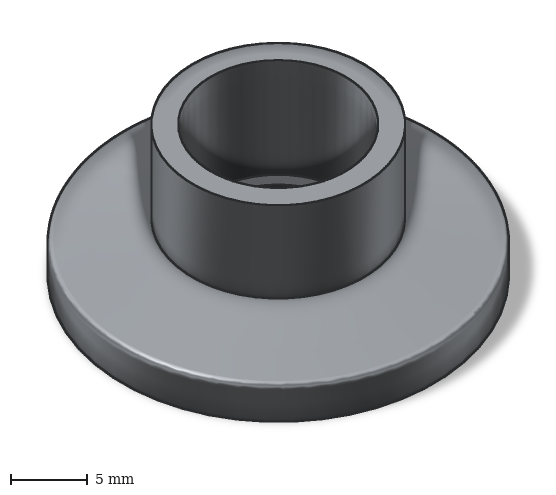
import cadquery as cq
import math

flange_diameter = 30.0
tube_diameter = 16.5
socket_diameter = 13.0
bore_diameter = 11.0
total_height = 12.7
rim_height = 3.0
cone_angle = 15.0
rim_fillet = 0.5
socket_floor = rim_height

flange_radius = flange_diameter / 2
tube_radius = tube_diameter / 2
cone_rise = (flange_radius - tube_radius) * math.tan(math.radians(cone_angle))
cone_top = rim_height + cone_rise


def make_body():
    """Flange with a conical back and a tube stub, revolved about Z."""
    profile = (
        cq.Workplane("XZ")
        .moveTo(0, 0)
        .lineTo(flange_radius, 0)
        .lineTo(flange_radius, rim_height)
        .lineTo(tube_radius, cone_top)
        .lineTo(tube_radius, total_height)
        .lineTo(0, total_height)
        .close()
    )
    return profile.revolve(360, (0, 0, 0), (0, 1, 0))


def round_rim(body):
    """Round the edge between the rim and the conical back."""
    rim_edge = cq.selectors.RadiusNthSelector(-1)
    return body.faces("%CONE").edges(rim_edge).fillet(rim_fillet)


def cut_bore(body):
    """Cut the through bore and the wider socket above it."""
    bore = cq.Workplane("XY").circle(bore_diameter / 2).extrude(total_height)
    socket = (
        cq.Workplane("XY", origin=(0, 0, socket_floor))
        .circle(socket_diameter / 2)
        .extrude(total_height - socket_floor)
    )
    return body.cut(bore).cut(socket)


result = cut_bore(round_rim(make_body()))